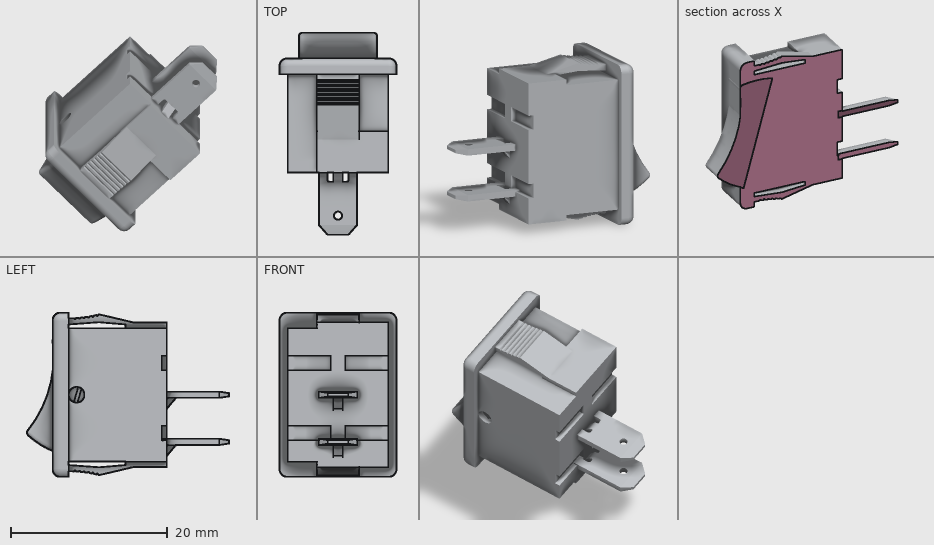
import cadquery as cq
import math


BEZEL_WIDTH = 14.95
BEZEL_HEIGHT = 20.95
BEZEL_THICKNESS = 2.05
BEZEL_CORNER_RADIUS = 1.03
BEZEL_EDGE_RADIUS = 1.0

BODY_WIDTH = 12.83
BODY_HEIGHT = 17.0
BODY_DEPTH = 12.5

TONGUE_WIDTH = 5.35
PAD_HEIGHT = 0.72
PAD_FRONT_Y = -7.22
PAD_TOP_Z = BODY_HEIGHT / 2 + PAD_HEIGHT
TONGUE_ROOT_Y = -8.27
TONGUE_PEAK_Y = -3.87
TONGUE_PEAK_Z = 10.25
TONGUE_END_Z = 9.77
TONGUE_GAP = 0.45
TONGUE_PEAK_GAP = 0.72
TONGUE_RISE = TONGUE_PEAK_Z - TONGUE_END_Z
TONGUE_ARC_RADIUS = (TONGUE_PEAK_Y**2 + TONGUE_RISE**2) / (2 * TONGUE_RISE)

NOTCH_COUNT = 6
NOTCH_FIRST_Y = -0.8
NOTCH_PITCH = 0.57
NOTCH_DEPTH = 0.15

SLOT_TOPS = (5.0, -3.95)
SLOT_HEIGHT = 1.88
SLOT_DEPTH = 0.67
SLOT_SPACING = 1.83

RECESS_DIAMETER = 2.0
RECESS_DEPTH = 0.8
RIB_WIDTH = 0.46
RIB_HEIGHT = 0.15
RIB_OFFSET = 0.15
RIB_TILT = 16.0

ROCKER_WIDTH = 10.0
ROCKER_END_RADIUS = 10.9
ROCKER_END_CENTRE_Y = -0.93
ROCKER_END_CENTRE_Z = 3.22
ROCKER_HOLLOW_RADIUS = 15.0
ROCKER_HOLLOW_CENTRE = 18.05
ROCKER_EDGE_RADIUS = 0.46
ROCKER_TILT = 15.5
PIVOT_Y = -0.45

TERMINAL_LEVELS = (0.0, -6.0)
TERMINAL_WIDTH = 4.87
TERMINAL_THICKNESS = 0.82
TERMINAL_INNER_Y = -11.95
TERMINAL_TIP_Y = -20.44
TAPER_LENGTH = 1.24
TIP_WIDTH = 2.65
TIP_THICKNESS = 0.45
HOLE_DIAMETER = 1.0
HOLE_Y = -18.0
WINDOW_WIDTH = 2.65
WINDOW_END_Y = -13.65
WINDOW_CORNER_RADIUS = 0.23
LEG_WIDTH = 1.2
LEG_ANGLE = 50.0


def block(x_range, y_range, z_range):
    """Box spanning the given (low, high) limits along X, Y and Z."""
    limits = (x_range, y_range, z_range)
    size = [high - low for low, high in limits]
    corner = [low for low, high in limits]
    return cq.Workplane("XY").box(*size, centered=False).translate(tuple(corner))


def bezel():
    frame = cq.Workplane("XZ").rect(BEZEL_WIDTH, BEZEL_HEIGHT).extrude(-BEZEL_THICKNESS)
    frame = frame.edges("|Y").fillet(BEZEL_CORNER_RADIUS)
    return frame.faces(">Y").edges().fillet(BEZEL_EDGE_RADIUS)


def tongue_surface_z(y):
    """Height of the arched outer face of the upper tongue, level at the bezel."""
    return TONGUE_END_Z + TONGUE_ARC_RADIUS - math.sqrt(TONGUE_ARC_RADIUS**2 - y**2)


def tongue():
    """Spring tongue of the upper clip, running from its pad to the bezel."""
    body_top = BODY_HEIGHT / 2
    arc_mid_y = TONGUE_PEAK_Y / 2
    profile = (
        cq.Workplane("YZ", origin=(-TONGUE_WIDTH / 2, 0, 0))
        .moveTo(0, body_top + TONGUE_GAP)
        .lineTo(0, TONGUE_END_Z)
        .threePointArc((arc_mid_y, tongue_surface_z(arc_mid_y)), (TONGUE_PEAK_Y, TONGUE_PEAK_Z))
        .lineTo(TONGUE_ROOT_Y, PAD_TOP_Z)
        .lineTo(TONGUE_ROOT_Y, body_top)
        .lineTo(PAD_FRONT_Y, body_top)
        .lineTo(PAD_FRONT_Y, body_top + TONGUE_GAP)
        .lineTo(TONGUE_PEAK_Y, body_top + TONGUE_PEAK_GAP)
        .close()
    )
    strip = profile.extrude(TONGUE_WIDTH)
    for index in range(NOTCH_COUNT):
        strip = strip.cut(grip_notch(NOTCH_FIRST_Y - index * NOTCH_PITCH))
    return strip


def grip_notch(y):
    """Right-angled V groove across the tongue, its point one notch depth below the surface."""
    point_z = tongue_surface_z(y) - NOTCH_DEPTH
    cutter_height = 2 * NOTCH_DEPTH
    return (
        cq.Workplane("YZ", origin=(-TONGUE_WIDTH / 2, 0, 0))
        .moveTo(y, point_z)
        .lineTo(y - cutter_height, point_z + cutter_height)
        .lineTo(y + cutter_height, point_z + cutter_height)
        .close()
        .extrude(TONGUE_WIDTH)
    )


def clip():
    """Upper clip: the pad, which reaches the +X side of the body, and its tongue."""
    pad = block(
        (-TONGUE_WIDTH / 2, BODY_WIDTH / 2),
        (-BODY_DEPTH, PAD_FRONT_Y),
        (BODY_HEIGHT / 2, PAD_TOP_Z),
    )
    return pad.union(tongue())


def rear_slot(top_z):
    """Slot across the rear face, interrupted by the central rib."""
    y_range = (-BODY_DEPTH, -BODY_DEPTH + SLOT_DEPTH)
    z_range = (top_z - SLOT_HEIGHT, top_z)
    left = block((-BODY_WIDTH / 2, -SLOT_SPACING / 2), y_range, z_range)
    return left.union(left.mirror("YZ"))


def side_recess():
    """Round recess whose floor carries a slanted rib that rises towards -Y."""
    radius = RECESS_DIAMETER / 2
    low_y = RIB_WIDTH / 2 - RIB_OFFSET
    high_y = -RIB_WIDTH / 2 - RIB_OFFSET
    disc = cq.Workplane("YZ").circle(radius).extrude(RECESS_DEPTH)
    rib = (
        cq.Workplane("XY", origin=(RECESS_DEPTH, 0, -radius))
        .moveTo(0, low_y)
        .lineTo(-RIB_HEIGHT, high_y)
        .lineTo(0, high_y)
        .close()
        .extrude(RECESS_DIAMETER)
        .rotate((0, 0, 0), (1, 0, 0), RIB_TILT)
    )
    return disc.cut(rib).translate((-BODY_WIDTH / 2, -radius, 0))


def housing():
    """Bezel, body and clips, with seats for the rocker and the terminals."""
    shell = block(
        (-BODY_WIDTH / 2, BODY_WIDTH / 2),
        (-BODY_DEPTH, 0),
        (-BODY_HEIGHT / 2, BODY_HEIGHT / 2),
    )
    upper_clip = clip()
    shell = shell.union(bezel()).union(upper_clip).union(upper_clip.mirror("XY"))
    for top_z in SLOT_TOPS:
        shell = shell.cut(rear_slot(top_z))
    shell = shell.cut(side_recess()).cut(rocker())
    for level in TERMINAL_LEVELS:
        shell = shell.cut(terminal(level))
    return shell


def rocker():
    """Rocker tilted about its pivot so that the lower end stands out of the bezel."""
    side = cq.Workplane("YZ", origin=(-ROCKER_WIDTH / 2, 0, 0))

    def disc(centre_y, centre_z, radius):
        return side.center(centre_y, centre_z).circle(radius).extrude(ROCKER_WIDTH)

    front_half = block(
        (-ROCKER_WIDTH / 2, ROCKER_WIDTH / 2),
        (0, ROCKER_END_RADIUS),
        (-ROCKER_END_RADIUS, ROCKER_END_RADIUS),
    )
    lower_end = disc(ROCKER_END_CENTRE_Y, ROCKER_END_CENTRE_Z, ROCKER_END_RADIUS)
    upper_end = disc(ROCKER_END_CENTRE_Y, -ROCKER_END_CENTRE_Z, ROCKER_END_RADIUS)
    hollow = disc(ROCKER_HOLLOW_CENTRE, 0, ROCKER_HOLLOW_RADIUS)
    button = front_half.intersect(lower_end).intersect(upper_end).cut(hollow)
    button = button.edges("not <Y").fillet(ROCKER_EDGE_RADIUS)
    return button.rotate((0, 0, 0), (1, 0, 0), ROCKER_TILT).translate((0, PIVOT_Y, 0))


def blade():
    """Flat blade with a pointed, thinned tip, a hole and a window open at the inner end."""
    taper_y = TERMINAL_TIP_Y + TAPER_LENGTH
    half_width = TERMINAL_WIDTH / 2
    outline = [
        (-half_width, TERMINAL_INNER_Y),
        (-half_width, taper_y),
        (-TIP_WIDTH / 2, TERMINAL_TIP_Y),
        (TIP_WIDTH / 2, TERMINAL_TIP_Y),
        (half_width, taper_y),
        (half_width, TERMINAL_INNER_Y),
    ]
    half_thickness = TERMINAL_THICKNESS / 2
    side_profile = [
        (TERMINAL_INNER_Y, half_thickness),
        (taper_y, half_thickness),
        (TERMINAL_TIP_Y, TIP_THICKNESS / 2),
        (TERMINAL_TIP_Y, -TIP_THICKNESS / 2),
        (taper_y, -half_thickness),
        (TERMINAL_INNER_Y, -half_thickness),
    ]
    plan = cq.Workplane("XY").polyline(outline).close().extrude(half_thickness, both=True)
    side = cq.Workplane("YZ").polyline(side_profile).close().extrude(half_width, both=True)
    hole = cq.Workplane("XY").center(0, HOLE_Y).circle(HOLE_DIAMETER / 2)
    window = block(
        (-WINDOW_WIDTH / 2, WINDOW_WIDTH / 2),
        (WINDOW_END_Y, TERMINAL_INNER_Y),
        (-half_thickness, half_thickness),
    )
    window = window.faces("<Y").edges("|Z").fillet(WINDOW_CORNER_RADIUS)
    return plan.intersect(side).cut(hole.extrude(half_thickness, both=True)).cut(window)


def bent_leg():
    """Strip bent down out of the window at LEG_ANGLE, sharp inside the bend, round outside."""
    half_thickness = TERMINAL_THICKNESS / 2
    slope = math.radians(LEG_ANGLE)

    def outer_bend(angle):
        return (
            WINDOW_END_Y + TERMINAL_THICKNESS * math.sin(angle),
            -half_thickness + TERMINAL_THICKNESS * math.cos(angle),
        )

    bend_end_y, bend_end_z = outer_bend(slope)
    outer_drop = (TERMINAL_INNER_Y - bend_end_y) * math.tan(slope)
    inner_drop = (TERMINAL_INNER_Y - WINDOW_END_Y) * math.tan(slope)
    return (
        cq.Workplane("YZ")
        .moveTo(WINDOW_END_Y, -half_thickness)
        .lineTo(*outer_bend(0))
        .threePointArc(outer_bend(slope / 2), (bend_end_y, bend_end_z))
        .lineTo(TERMINAL_INNER_Y, bend_end_z - outer_drop)
        .lineTo(TERMINAL_INNER_Y, -half_thickness - inner_drop)
        .close()
        .extrude(LEG_WIDTH / 2, both=True)
    )


def terminal(level):
    """Blade terminal with its leg, centred on the given Z level."""
    return blade().union(bent_leg()).translate((0, 0, level))


housing_body = housing().solids()
rocker_body = rocker().solids()
terminal_bodies = [terminal(level).solids() for level in TERMINAL_LEVELS]

result = cq.Compound.makeCompound(
    [
        housing_body.val(),
        rocker_body.val(),
        *[body.val() for body in terminal_bodies],
    ]
)